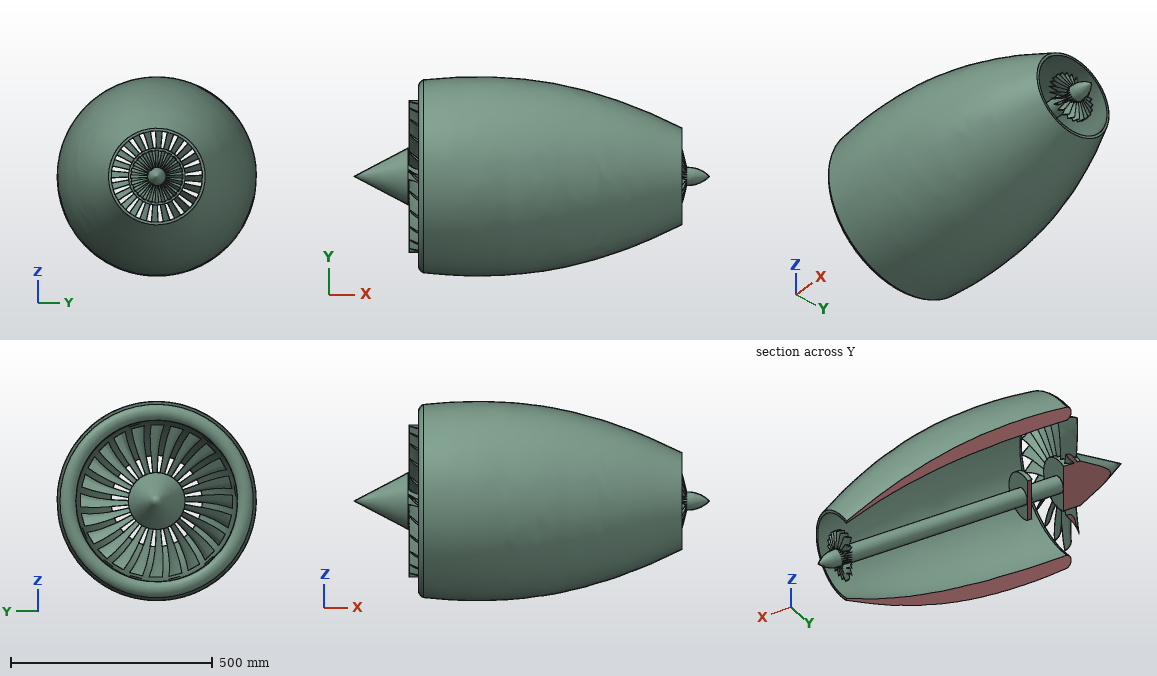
import cadquery as cq
import math

TOTAL_LENGTH = 884.0
BLADE_COUNT = 24

LIP_FRONT_X = 160.0
LIP_REAR_X = 173.0
LIP_OUTER_RADIUS = 240.0
LIP_CREST_RADIUS = 217.5
INLET_RADIUS = 201.0
NACELLE_MAX_DIAMETER = 496.0
NACELLE_MAX_X = 311.0
NACELLE_END_X = 816.0
EXIT_OUTER_RADIUS = 120.0
EXIT_INNER_RADIUS = 113.0
OUTER_TAPER = [(487.0, 233.0), (658.0, 188.0)]
DUCT_TAPER = [(487.0, 191.0), (658.0, 163.0)]

SPINNER_LENGTH = 134.0
HUB_RADIUS = 71.0
HUB_END_X = 183.0
FAN_LEADING_X = 137.0
FAN_AXIAL_CHORD = 39.0
FAN_THICKNESS = 4.0
FAN_CAMBER = 3.0
FAN_STATIONS = [
    (64.0, 8.8, -0.6),
    (118.0, 7.0, -1.8),
    (155.0, 6.0, -3.3),
    (189.0, 4.3, -5.7),
]

SHAFT_RADIUS = 23.0
DISC_FRONT_X = 275.0
DISC_THICKNESS = 13.0
DISC_RADIUS = 64.0
TAIL_CONE_X = 828.0
VANE_LEADING_X = 800.0
VANE_THICKNESS = 3.0
VANE_CAMBER = 1.0
VANE_STATIONS = [(19.5, 828.0, 5.0), (44.0, 822.0, 4.0), (65.0, 817.0, 4.0)]


def revolve_about_x(profile):
    """Turn a closed profile, drawn with X along the axis and Y as the radius, about the X axis."""
    return profile.revolve(360, (0, 0, 0), (1, 0, 0))


def blade_section(radius, front_x, rear_x, front_angle, rear_angle, thickness, camber):
    """Lens-shaped section across the blade at one radius, bowed forward by the camber."""
    front = cq.Vector(front_x, radius * math.sin(math.radians(front_angle)), radius)
    rear = cq.Vector(rear_x, radius * math.sin(math.radians(rear_angle)), radius)
    chord = rear - front
    across = cq.Vector(chord.y, -chord.x, 0).normalized()
    middle = (front + rear) * 0.5
    front_face = cq.Edge.makeThreePointArc(front, middle + across * (camber + thickness / 2), rear)
    rear_face = cq.Edge.makeThreePointArc(rear, middle + across * (camber - thickness / 2), front)
    return cq.Wire.assembleEdges([front_face, rear_face])


def add_blade_ring(hub, blade):
    """Fuse evenly spaced copies of a blade to its hub."""
    pitch = 360 / BLADE_COUNT
    blades = [blade.rotate(cq.Vector(0, 0, 0), cq.Vector(1, 0, 0), i * pitch) for i in range(BLADE_COUNT)]
    return hub.val().fuse(*blades)


def make_nacelle():
    """Ring duct with a rounded inlet lip and a barrel outline that narrows to the exit."""
    profile = (
        cq.Workplane("XY")
        .moveTo(LIP_REAR_X, INLET_RADIUS)
        .threePointArc((LIP_FRONT_X, LIP_CREST_RADIUS), (LIP_REAR_X, LIP_OUTER_RADIUS))
        .spline(
            [(NACELLE_MAX_X, NACELLE_MAX_DIAMETER / 2), *OUTER_TAPER, (NACELLE_END_X, EXIT_OUTER_RADIUS)],
            includeCurrent=True,
        )
        .lineTo(NACELLE_END_X, EXIT_INNER_RADIUS)
        .spline([*reversed(DUCT_TAPER), (LIP_REAR_X, INLET_RADIUS)], includeCurrent=True)
        .close()
    )
    return revolve_about_x(profile)


def make_fan():
    """Conical spinner and hub carrying the twisted fan blades."""
    hub = revolve_about_x(
        cq.Workplane("XY").polyline(
            [(0, 0), (SPINNER_LENGTH, HUB_RADIUS), (HUB_END_X, HUB_RADIUS), (HUB_END_X, 0)]
        ).close()
    )
    sections = [
        blade_section(
            radius, FAN_LEADING_X, FAN_LEADING_X + FAN_AXIAL_CHORD,
            front_angle, rear_angle, FAN_THICKNESS, FAN_CAMBER,
        )
        for radius, front_angle, rear_angle in FAN_STATIONS
    ]
    return add_blade_ring(hub, cq.Solid.makeLoft(sections))


def make_core():
    """Shaft from the back of the fan hub to a rounded tail cone, with a disc and short swept vanes."""
    disc_rear_x = DISC_FRONT_X + DISC_THICKNESS
    shaft = revolve_about_x(
        cq.Workplane("XY")
        .moveTo(HUB_END_X, 0)
        .lineTo(HUB_END_X, SHAFT_RADIUS)
        .lineTo(DISC_FRONT_X, SHAFT_RADIUS)
        .lineTo(DISC_FRONT_X, DISC_RADIUS)
        .lineTo(disc_rear_x, DISC_RADIUS)
        .lineTo(disc_rear_x, SHAFT_RADIUS)
        .lineTo(TAIL_CONE_X, SHAFT_RADIUS)
        .spline([(TOTAL_LENGTH, 0)], tangents=[(1, 0), (1, -1)], includeCurrent=True)
        .close()
    )
    sections = [
        blade_section(radius, VANE_LEADING_X, rear_x, half_angle, -half_angle, VANE_THICKNESS, VANE_CAMBER)
        for radius, rear_x, half_angle in VANE_STATIONS
    ]
    return add_blade_ring(shaft, cq.Solid.makeLoft(sections))


nacelle = make_nacelle()
fan = make_fan()
core = make_core()

result = cq.Compound.makeCompound([nacelle.val(), *fan.Solids(), *core.Solids()])